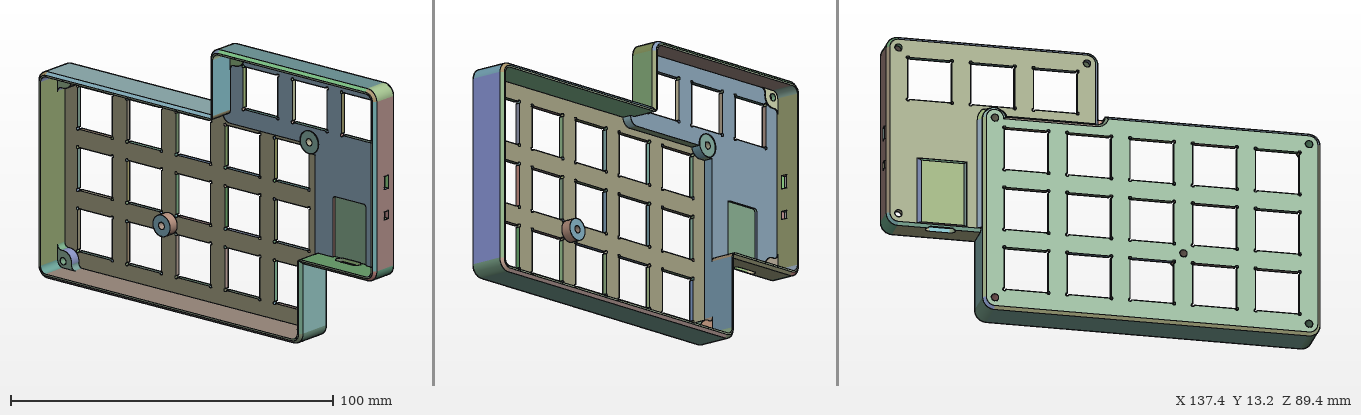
import cadquery as cq
import math

length = 137.4
margin = 3.7
corner_radius = margin
length_pitches = 6.5
side_left_pitches = 3.5
side_top_pitches = 4.1
pitch = (length - 2 * margin) / length_pitches
wall = 1.5
edge_chamfer = 1.0
overlap = 0.1

main_columns = 5
main_rows = 3
main_width = main_columns * pitch + 2 * margin
main_height = main_rows * pitch + 2 * margin
main_depth = 13.2
side_depth = 10.0
side_left = side_left_pitches * pitch
side_bottom = 26.7
side_top = side_top_pitches * pitch + 2 * margin
main_floor = main_depth - wall
side_floor = side_depth - wall

key_size = 14.0
key_relief_diameter = 1.0
side_key_row = 3.6
side_key_columns = (4, 5, 6)
screw_diameter = 2.3
boss_diameter = 7.0
boss_front = 8.2
boss_fillet = 1.5
pillar_diameter = 2 * margin

step_left = 68.4
step_drop = 2.9
step_radius = step_drop
skirt_size = 1.2

pocket_left = 113.2
pocket_width = 13.3
pocket_top = 48.1
pocket_radius = 1.0
pocket_depth = 0.8
bump_height = 1.2
bump_chamfer = 1.1
slot_length = 9.5
slot_height = 3.0
slot_centre_y = 8.0

side_opening_width = 2.0
side_opening_y = 5.6
long_opening_z = 58.4
long_opening_height = 4.3
short_opening_z = 47.7
short_opening_height = 2.6


def node(column, row):
    """Position (x, z) of a key grid node, counted in pitches."""
    return (margin + column * pitch, margin + row * pitch)


def plane_at(y):
    """Sketch plane facing the front; extruding moves toward the front."""
    return cq.Workplane("XZ", origin=(0, y, 0))


def block(left, right, bottom, top, front, back, radius=0.0):
    """Box between the given sides, with its corners along Y rounded."""
    box = cq.Workplane("XY").box(right - left, back - front, top - bottom, centered=False)
    box = box.translate((left, front, bottom))
    return box.edges("|Y").fillet(radius) if radius else box


def cylinders(points, diameter, front, back):
    return plane_at(back).pushPoints(points).circle(diameter / 2).extrude(back - front)


def main_block(inset, front, back):
    return block(inset, main_width - inset, inset, main_height - inset,
                 front, back, corner_radius - inset)


def side_block(inset, front, back):
    return block(side_left + inset, length - inset, side_bottom + inset, side_top - inset,
                 front, back, corner_radius - inset)


pillar_x, pillar_z = node(main_columns, main_rows)


def step_cutter(inset, front, back):
    """Space above the stepped top of the main block, rounded at its lower left."""
    bottom = main_height - step_drop - inset
    cutter = block(step_left, length, bottom, side_top, front, back)
    return cutter.edges("|Y and <X and <Z").fillet(step_radius)


def deep_block(front, back):
    """Stepped main block with the screw pillar at its upper right."""
    cutter = step_cutter(0, front, back)
    pillar = cylinders([(pillar_x, pillar_z)], pillar_diameter, front, back)
    return main_block(0, front, back).cut(cutter.cut(pillar))


def outer_body():
    """Solid outer shape with chamfered front and back edges."""
    shoulder = side_depth - edge_chamfer
    rim = main_block(0, 0, shoulder).union(side_block(0, 0, shoulder))
    rim = rim.faces("<Y").edges().chamfer(edge_chamfer)
    side = side_block(0, edge_chamfer, side_depth).faces(">Y").edges().chamfer(edge_chamfer)
    deep = deep_block(edge_chamfer, main_depth).faces(">Y").edges().chamfer(edge_chamfer)
    return rim.union(side).union(deep)


def skirt():
    """Sloped foot where the deep block rises from the back of the side block."""
    skirt_back = side_depth + skirt_size
    foot = deep_block(side_depth, skirt_back)
    outline = foot.faces("<Y").wires().val().offset2D(skirt_size)[0]
    sloped = plane_at(side_depth).add(outline).toPending().extrude(-skirt_size, taper=45)
    limit = block(side_left + edge_chamfer, length, side_bottom + edge_chamfer, main_height,
                  side_depth, skirt_back)
    return sloped.intersect(limit)


def cavity():
    """Open front space, deeper behind the main keys, leaving the screw pillar."""
    shallow = main_block(wall, -overlap, side_floor).union(side_block(wall, -overlap, side_floor))
    inner_corners = (
        (side_left + wall, main_height - wall),
        (main_width - wall, side_bottom + wall),
    )
    for x, z in inner_corners:
        nearest = cq.selectors.NearestToPointSelector((x, side_floor / 2, z))
        shallow = shallow.edges("|Y").edges(nearest).fillet(wall)

    deep = main_block(wall, 0, main_floor).cut(step_cutter(wall, 0, main_floor))
    pillar_corner = block(pillar_x, main_width, pillar_z - pillar_diameter / 2, main_height,
                          side_floor, main_floor)
    pillar = cylinders([(pillar_x, pillar_z)], pillar_diameter, boss_front, main_floor)
    return shallow.union(deep.cut(pillar_corner)).cut(pillar)


def corner_boss(x, z, to_right, to_top, back):
    """Round boss in a wall corner, blended into both walls.

    to_right and to_top are +1 or -1 and give the direction toward the corner.
    """
    radius = boss_diameter / 2
    reach = margin - wall
    blend_across = reach - boss_fillet
    blend_along = math.sqrt((radius + boss_fillet) ** 2 - blend_across ** 2)
    on_boss = radius / (radius + boss_fillet)
    blend_angle = math.pi / 4 - math.atan2(blend_across, blend_along) / 2
    mid_along = blend_along - boss_fillet * math.cos(blend_angle)
    mid_across = blend_across + boss_fillet * math.sin(blend_angle)
    diagonal = radius / math.sqrt(2)

    def at(u, v):
        return (x + to_right * u, z + to_top * v)

    mid_1 = at(-mid_along, mid_across)
    mid_2 = at(mid_across, -mid_along)
    profile = (
        plane_at(back)
        .moveTo(*at(reach, reach))
        .lineTo(*at(-blend_along, reach))
        .threePointArc(mid_1, at(-blend_along * on_boss, blend_across * on_boss))
        .threePointArc(at(-diagonal, -diagonal), at(blend_across * on_boss, -blend_along * on_boss))
        .threePointArc(mid_2, at(reach, -blend_along))
        .close()
    )
    return profile.extrude(back - boss_front)


def key_openings():
    """Square openings with a round relief at each corner."""
    centres = [node(c + 0.5, r + 0.5) for c in range(main_columns) for r in range(main_rows)]
    centres += [node(c, side_key_row) for c in side_key_columns]
    half = key_size / 2
    reliefs = [(x + dx, z + dz) for x, z in centres for dx in (-half, half) for dz in (-half, half)]
    squares = plane_at(main_depth).pushPoints(centres).rect(key_size, key_size).extrude(main_depth)
    return squares.union(cylinders(reliefs, key_relief_diameter, 0, main_depth))


def connector_bump():
    """Raised back that makes room for the connector pocket."""
    bump = block(pocket_left - bump_height, pocket_left + pocket_width + bump_height,
                 side_bottom + edge_chamfer, pocket_top + bump_height,
                 side_depth, side_depth + bump_height)
    return bump.faces(">Y").edges("not <Z").chamfer(bump_chamfer)


def connector_cutter():
    """Pocket in the side floor and the plug slot through the lower wall."""
    right = pocket_left + pocket_width
    pocket = block(pocket_left, right, side_bottom + wall, pocket_top,
                   side_floor - overlap, side_floor + pocket_depth)
    pocket = pocket.edges("|Y and >Z").fillet(pocket_radius)
    slot = (
        cq.Workplane("XY", origin=(pocket_left + pocket_width / 2, slot_centre_y, side_bottom - overlap))
        .slot2D(slot_length, slot_height)
        .extrude(wall + 2 * overlap)
    )
    return pocket.union(slot)


def side_openings():
    """Two upright rectangular openings through the right wall."""
    def opening(centre_z, height):
        return block(length - wall - overlap, length + overlap,
                     centre_z - height / 2, centre_z + height / 2,
                     side_opening_y - side_opening_width / 2, side_opening_y + side_opening_width / 2)

    long = opening(long_opening_z, long_opening_height)
    return long.union(opening(short_opening_z, short_opening_height))


side_bottom_z = side_bottom + margin
side_top_z = side_top - margin
side_left_x = side_left + margin
side_right_x = length - margin
main_right_x = main_width - margin
main_top_z = main_height - margin
corner_screws = (
    (margin, margin, -1, -1, main_floor),
    (main_right_x, margin, 1, -1, main_floor),
    (margin, main_top_z, -1, 1, main_floor),
    (side_left_x, side_top_z, -1, 1, side_floor),
    (side_right_x, side_top_z, 1, 1, side_floor),
    (side_right_x, side_bottom_z, 1, -1, side_floor),
)
middle_screw = node(2, 1)

body = outer_body().union(skirt()).union(connector_bump())
body = body.cut(cavity())
for x, z, to_right, to_top, floor in corner_screws:
    body = body.union(corner_boss(x, z, to_right, to_top, floor))
body = body.union(cylinders([middle_screw], boss_diameter, boss_front, main_floor))
body = body.cut(key_openings())
body = body.cut(connector_cutter())
body = body.cut(side_openings())
screws = [screw[:2] for screw in corner_screws] + [middle_screw, (pillar_x, pillar_z)]
result = body.cut(cylinders(screws, screw_diameter, 0, main_depth))